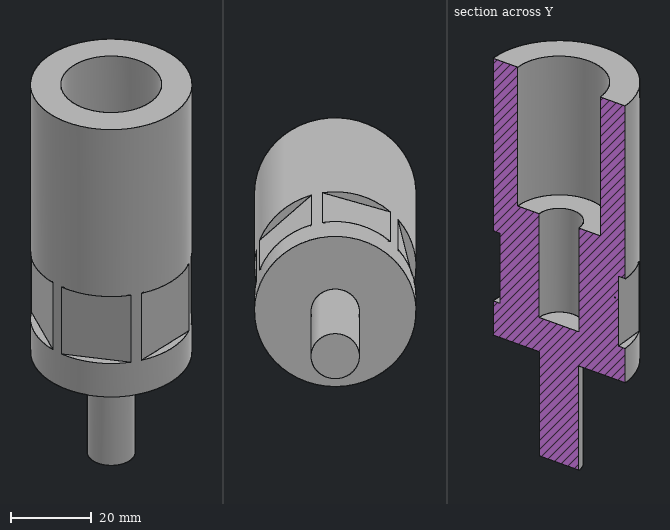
import cadquery as cq

total_height = 110.0
shank_length = 30.0
collar_height = 10.0
flats_height = 20.0

body_diameter = 40.0
shank_diameter = 12.0
bore_diameter = 25.0
pilot_diameter = shank_diameter
across_flats = 36.0
flat_count = 6

bore_depth = 40.0
flats_bottom = shank_length + collar_height
bore_floor = total_height - bore_depth
pilot_floor = flats_bottom


def cylinder(diameter, bottom, top):
    """Solid cylinder on the Z axis between two levels."""
    return cq.Workplane("XY", origin=(0, 0, bottom)).circle(diameter / 2).extrude(top - bottom)


def flat_cutter(angle):
    """Block that mills one wrench flat; at angle 0 the flat faces +X."""
    block = cq.Workplane("XY").box(
        body_diameter, body_diameter, flats_height, centered=(False, True, False)
    )
    block = block.translate((across_flats / 2, 0, flats_bottom))
    return block.rotate((0, 0, 0), (0, 0, 1), angle)


body = cylinder(body_diameter, shank_length, total_height)
result = body.union(cylinder(shank_diameter, 0, shank_length))

for index in range(flat_count):
    result = result.cut(flat_cutter(index * 360 / flat_count))

result = result.cut(cylinder(bore_diameter, bore_floor, total_height))
result = result.cut(cylinder(pilot_diameter, pilot_floor, bore_floor))